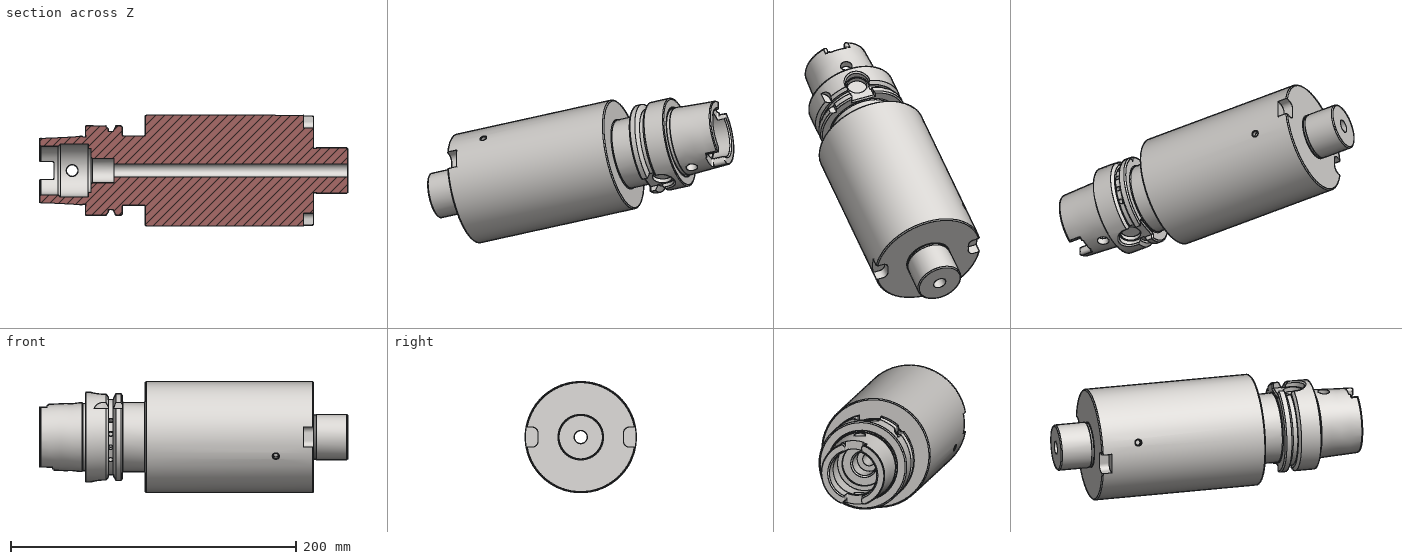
import cadquery as cq
import math


shank_length = 32.0
taper_ratio = 1 / 10
gauge_radius = 24.0
gauge_offset = 6.3
tip_chamfer_length = 0.8
tip_chamfer_height = 0.4
relief_width = 2.2
relief_depth = 0.5
relief_lip_radius = 25.1

flange_radius = 31.5
flange_width = 26.0
flange_chamfer_length = 0.5
flange_chamfer_height = 1.0
flange_rear_chamfer = 1.0
groove_radius = 27.5
groove_start = 14.4
groove_wall = 16.2
groove_lip_radius = 29.2
groove_floor_end = 19.4
groove_end = 21.4

balancing_hole_x = (groove_wall + groove_floor_end) / 2
balancing_hole_radius = 1.65
balancing_hole_depth = 6.0
balancing_hole_count = 4
balancing_hole_first_angle = -35.0
balancing_hole_pitch = 20.0

neck_radius = 24.4
neck_root = 0.6
body_start = 42.0
body_end = 160.0
body_radius = 39.0
body_chamfer = 0.8
pilot_end = 184.0
pilot_radius = 16.0
pilot_chamfer = 0.8
undercut_width = 2.0
undercut_depth = 0.4

mouth_radius = 18.0
lip_radius = 17.0
mouth_chamfer = 1.0
lip_length = 13.0
chamber_radius = 18.5
chamber_end = 2.0
seat_radius = 15.3
seat_end = 4.0
nut_bore_radius = 8.4
nut_bore_chamfer = 1.1
nut_bore_end = 20.0
coolant_radius = 4.5

drive_slot_width = 12.5
drive_slot_depths = {1: 6.0, -1: 10.0}
drive_slot_corner_radius = 1.0
drive_slot_edge_radius = 2.0

access_hole_radius = 4.0
access_hole_x = -9.2

keyway_width = 16.0
keyway_floor = 26.5
keyway_x = 12.9
keyway_rim_chamfer = 1.1
chip_hole_radius = 7.0
chip_hole_depth = 3.2

notch_start = 5.6
notch_distance = 20.0
notch_corner_radius = 7.3

tenon_slot_width = 14.0
tenon_slot_length = 7.0
tenon_slot_corner = 4.0
tenon_slot_floor = 30.0

screw_x = 133.5
screw_angle = 20.0
screw_hole_radius = 2.0
screw_hole_depth = 4.0
screw_hole_countersink = 0.5


def taper_radius(x):
    """Radius of the taper surface at position x."""
    return gauge_radius + (x + gauge_offset) * taper_ratio / 2


def revolve_profile(points):
    """Solid of revolution about X from (x, radius) points."""
    return cq.Workplane("XZ").polyline(points).close().revolve(360, (0, 0, 0), (1, 0, 0))


def turned(shape, angle):
    """Shape turned about the tool axis."""
    return shape.rotate((0, 0, 0), (1, 0, 0), angle)


def make_shank():
    tip = -shank_length
    chamfer_end = tip + tip_chamfer_length
    relief_start_radius = taper_radius(-relief_width)
    relief_radius = relief_start_radius - relief_depth
    return revolve_profile([
        (tip, 0),
        (tip, taper_radius(tip) - tip_chamfer_height),
        (chamfer_end, taper_radius(chamfer_end)),
        (-relief_width, relief_start_radius),
        (-relief_width + relief_depth, relief_radius),
        (relief_depth, relief_radius),
        (relief_depth, 0),
    ])


def make_drive_slot(depth):
    """Radial slot open to the tip, on the +Z side, with rounded mouth and floor corners."""
    tip = -shank_length
    half_width = drive_slot_width / 2
    corner = drive_slot_corner_radius
    mouth = cq.Workplane("XY", origin=(tip, 0, 0)).rect(2 * corner, drive_slot_width + 2 * corner)
    mouth = mouth.extrude(flange_radius)
    for side in (1, -1):
        rounding = cq.Workplane("XY", origin=(tip + corner, side * (half_width + corner), 0))
        mouth = mouth.cut(rounding.circle(corner).extrude(flange_radius))
    slot = cq.Workplane("XY").box(depth, drive_slot_width, flange_radius, centered=(False, True, False))
    slot = slot.edges("|Z and >X").fillet(corner).translate((tip, 0, 0))
    return slot.union(mouth).union(make_drive_slot_flare(depth - corner))


def make_drive_slot_flare(length):
    """Rounds the outer edges of a drive slot with arcs tangent to its walls and to the tip circle."""
    tip = -shank_length
    radius = drive_slot_edge_radius
    centre_y = drive_slot_width / 2 + radius
    centre_distance = taper_radius(tip) - radius
    centre_z = math.sqrt(centre_distance**2 - centre_y**2)
    half_width = centre_y * taper_radius(tip) / centre_distance
    flare = cq.Workplane("XY", origin=(tip, 0, centre_z)).box(
        length, 2 * half_width, flange_radius, centered=(False, True, False)
    )
    for side in (1, -1):
        rounding = cq.Workplane("YZ", origin=(tip, side * centre_y, centre_z))
        flare = flare.cut(rounding.circle(radius).extrude(length))
    return flare


def make_flange():
    flange = revolve_profile([
        (relief_depth, 0),
        (relief_depth, relief_lip_radius - relief_depth),
        (0, relief_lip_radius),
        (0, flange_radius - flange_chamfer_height),
        (flange_chamfer_length, flange_radius),
        (groove_start, flange_radius),
        (groove_wall, groove_lip_radius),
        (groove_wall, groove_radius),
        (groove_floor_end, groove_radius),
        (groove_end, flange_radius),
        (flange_width, flange_radius),
        (flange_width, 0),
    ])
    for angle in (0, 180):
        flange = flange.cut(turned(make_keyway(), angle))
    for side in (1, -1):
        flange = flange.edges(keyway_rim(side)).edges("%BSPLINE").chamfer(keyway_rim_chamfer)
    flange = flange.faces(">X").edges().chamfer(flange_rear_chamfer)
    for angle in (0, 180):
        flange = flange.cut(turned(make_chip_hole(), angle))
    return flange.cut(make_notch())


def make_keyway():
    """Round-ended slot on the +Z side, open to the rear face of the flange."""
    height = flange_radius - keyway_floor
    length = flange_width - keyway_x
    plane = cq.Workplane("XY", origin=(keyway_x, 0, keyway_floor))
    round_end = plane.circle(keyway_width / 2).extrude(height)
    return round_end.union(plane.center(length / 2, 0).rect(length, keyway_width).extrude(height))


def keyway_rim(side):
    """Box around the edge where the round end of a keyway meets the outside of the flange."""
    z_range = sorted((side * keyway_floor, 2 * side * flange_radius))
    return cq.selectors.BoxSelector(
        (0, -keyway_width, z_range[0]), (keyway_x, keyway_width, z_range[1])
    )


def make_chip_hole():
    """Shallow round hole in the floor of the +Z keyway."""
    hole = cq.Workplane("XY", origin=(keyway_x, 0, keyway_floor))
    return hole.circle(chip_hole_radius).extrude(-chip_hole_depth)


def make_notch():
    """Corner pocket at +Z and -Y with a rounded front corner, open to the rear of the flange."""
    size = flange_radius
    notch = cq.Workplane("XY").box(flange_width, size, size, centered=False)
    notch = notch.edges("|Z and <X and >Y").fillet(notch_corner_radius)
    return notch.translate((notch_start, -notch_distance - size, notch_distance))


def make_rear():
    undercut_radius = pilot_radius - undercut_depth
    return revolve_profile([
        (flange_width, 0),
        (flange_width, neck_radius + neck_root),
        (flange_width + neck_root, neck_radius),
        (body_start - neck_root, neck_radius),
        (body_start, neck_radius + neck_root),
        (body_start, body_radius - body_chamfer),
        (body_start + body_chamfer, body_radius),
        (body_end - body_chamfer, body_radius),
        (body_end, body_radius - body_chamfer),
        (body_end, undercut_radius + undercut_depth),
        (body_end + undercut_depth, undercut_radius),
        (body_end + undercut_width - undercut_depth, undercut_radius),
        (body_end + undercut_width, pilot_radius),
        (pilot_end - pilot_chamfer, pilot_radius),
        (pilot_end, pilot_radius - pilot_chamfer),
        (pilot_end, 0),
    ])


def make_bore():
    tip = -shank_length
    lip_end = tip + lip_length
    return revolve_profile([
        (tip, 0),
        (tip, mouth_radius),
        (tip + mouth_chamfer, lip_radius),
        (lip_end, lip_radius),
        (lip_end + chamber_radius - lip_radius, chamber_radius),
        (chamber_end, chamber_radius),
        (chamber_end, seat_radius),
        (seat_end, seat_radius),
        (seat_end, nut_bore_radius + nut_bore_chamfer),
        (seat_end + nut_bore_chamfer, nut_bore_radius),
        (nut_bore_end, nut_bore_radius),
        (nut_bore_end, coolant_radius),
        (pilot_end, coolant_radius),
        (pilot_end, 0),
    ])


def make_access_hole():
    """Hole right across the taper along Z."""
    hole = cq.Workplane("XY", origin=(access_hole_x, 0, -flange_radius))
    return hole.circle(access_hole_radius).extrude(2 * flange_radius)


def make_tenon_slot():
    """Driver slot with rounded floor corners, on the +Z side before it is turned into place."""
    height = body_radius - tenon_slot_floor
    slot = cq.Workplane("XY").box(tenon_slot_length, tenon_slot_width, height, centered=(False, True, False))
    slot = slot.edges("|X and <Z").fillet(tenon_slot_corner)
    return slot.translate((body_end - tenon_slot_length, 0, tenon_slot_floor))


def make_screw_hole():
    """Blind countersunk radial hole on the +Z side before it is turned into place."""
    countersink_radius = screw_hole_radius + screw_hole_countersink
    hole = cq.Workplane("XY", origin=(screw_x, 0, body_radius - screw_hole_depth))
    hole = hole.circle(screw_hole_radius).extrude(screw_hole_depth)
    countersink = cq.Solid.makeCone(
        screw_hole_radius,
        countersink_radius,
        screw_hole_countersink,
        pnt=cq.Vector(screw_x, 0, body_radius - screw_hole_countersink),
    )
    return hole.union(cq.Workplane(countersink))


def make_balancing_hole():
    """Blind radial hole on the +Z side before it is turned into place."""
    hole = cq.Workplane("XY", origin=(balancing_hole_x, 0, groove_radius - balancing_hole_depth))
    return hole.circle(balancing_hole_radius).extrude(balancing_hole_depth)


bore = make_bore()
shank = make_shank().cut(bore)
for side, depth in drive_slot_depths.items():
    shank = shank.cut(turned(make_drive_slot(depth), 90 - side * 90))

result = shank.union(make_flange()).union(make_rear()).cut(bore).cut(make_access_hole())
for angle in (90, -90):
    result = result.cut(turned(make_tenon_slot(), angle))
    result = result.cut(turned(make_screw_hole(), angle + screw_angle))
for index in range(balancing_hole_count):
    elevation = balancing_hole_first_angle + index * balancing_hole_pitch
    result = result.cut(turned(make_balancing_hole(), 90 - elevation))